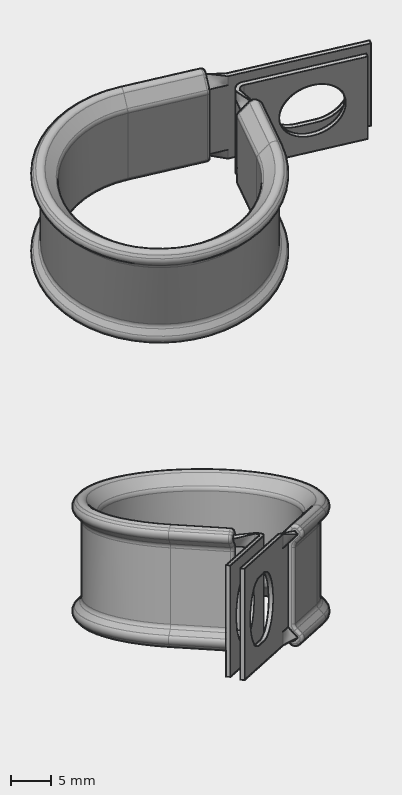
import cadquery as cq
import math


inner_radius = 12.65
groove_radius = 14.9
crest_radius = 16.01
half_height = 7.825
ridge_radius = 14.9
corner_radius = 0.8
end_rounding = 0.45
leg_1_end = 10.9
leg_2_end = 8.15
loop_angle = 270.0

strap_outer = 14.05
strap_thickness = 0.6
strap_inner = strap_outer - strap_thickness
strap_half_width = 7.15
flare_width = 1.8
flare_length = 2.5
fold_outer = strap_half_width - flare_width
fold_inner = fold_outer + strap_thickness * math.tan(math.radians(45 / 2))
embed = 0.95

overall_length = 48.15
tab_1_tip = overall_length - crest_radius
tab_2_tip = 31.0
tab_2_face = -11.95
hole_y = 23.8
hole_diameter = 8.7
slot_length = 11.15


def cushion_section():
    """Cushion cross-section in the XZ plane; the lips lean outward at 45 degrees with rounded corners."""
    rounding_loss = corner_radius * (math.sqrt(2) - 1)
    ridge_height = half_height + rounding_loss
    rim_radius = crest_radius + rounding_loss
    rim_height = ridge_height - (rim_radius - ridge_radius)
    inner_height = ridge_height - (ridge_radius - inner_radius)
    groove_height = rim_height - (rim_radius - groove_radius)
    upper = [
        (inner_radius, inner_height),
        (ridge_radius, ridge_height),
        (rim_radius, rim_height),
        (groove_radius, groove_height),
    ]
    lower = [(radius, -height) for radius, height in reversed(upper)]
    sharp = cq.Workplane("XZ").polyline(upper + lower).close().extrude(0.5)
    rounded = sharp.edges("|Y").fillet(corner_radius)
    return rounded.faces(">Y").val()


def place_on_leg_1(shape):
    """Turn a leg built along +Y at positive X to the -X side of the loop."""
    return shape.mirror("YZ")


def place_on_leg_2(shape):
    """Turn a leg built along +Y at positive X so that it runs along -X at positive Y."""
    return shape.rotate((0, 0, 0), (0, 0, 1), 90)


def cushion_leg(end):
    """Straight cushion along +Y at positive X, with its free end rounded over."""
    leg = cq.Workplane(cq.Solid.extrudeLinear(cushion_section(), cq.Vector(0, end, 0)))
    return leg.faces(">Y").edges().fillet(end_rounding)


def cushion_loop():
    """Three quarters of a turn, from leg 1 around -Y and +X to leg 2."""
    loop = cq.Solid.revolve(cushion_section(), loop_angle, cq.Vector(0, 0, 0), cq.Vector(0, 0, 1))
    return cq.Workplane(loop).rotate((0, 0, 0), (0, 0, 1), 180)


def flare(cushion_end):
    """Strap edge that twists from flat, clear of the cushion, to tilted where it enters."""
    tilt_reach = flare_width / math.sqrt(2)
    tilt_thickness = strap_thickness / math.sqrt(2)
    tip_x = strap_outer + tilt_reach
    tip_z = fold_outer + tilt_reach
    root = [(strap_outer, fold_outer), (strap_inner, fold_inner)]
    flat = root + [(strap_inner, strap_half_width), (strap_outer, strap_half_width)]
    tilted = root + [(tip_x - tilt_thickness, tip_z + tilt_thickness), (tip_x, tip_z)]

    def wire_at(points, y):
        return cq.Wire.makePolygon([cq.Vector(x, y, z) for x, z in points], close=True)

    flat_wire = wire_at(flat, cushion_end + flare_length)
    tilted_wire = wire_at(tilted, cushion_end)
    twist = cq.Workplane(cq.Solid.makeLoft([flat_wire, tilted_wire], True))
    tilted_face = cq.Face.makeFromWires(wire_at(tilted, cushion_end))
    buried = cq.Workplane(cq.Solid.extrudeLinear(tilted_face, cq.Vector(0, -embed, 0)))
    return twist.union(buried)


def strap_end(cushion_end):
    """Strap emerging from one end of the cushion, up to where its flares have become flat."""
    middle_section = [
        (strap_outer, fold_outer),
        (strap_inner, fold_inner),
        (strap_inner, -fold_inner),
        (strap_outer, -fold_outer),
    ]
    middle = (
        cq.Workplane("XZ", origin=(0, cushion_end - embed, 0))
        .polyline(middle_section)
        .close()
        .extrude(-(flare_length + embed))
    )
    top_flare = flare(cushion_end)
    return middle.union(top_flare).union(top_flare.mirror("XY"))


def tab_1():
    """Flat tab continuing leg 1, with an elongated bolt hole."""
    tab_start = leg_1_end + flare_length
    tab = (
        cq.Workplane("XY", origin=(-strap_outer, tab_start, 0))
        .box(strap_thickness, tab_1_tip - tab_start, 2 * strap_half_width, centered=(False, False, True))
    )
    slot = (
        cq.Workplane("YZ", origin=(-strap_outer, hole_y, 0))
        .slot2D(slot_length, hole_diameter)
        .extrude(strap_thickness)
    )
    return tab.cut(slot)


def tab_2():
    """Tab folded up from leg 2 to lie parallel to tab 1, with a round bolt hole."""
    bend_start = -(leg_2_end + flare_length)
    bend_outer_radius = bend_start - tab_2_face
    back_face = tab_2_face + strap_thickness
    bend_inner_radius = bend_outer_radius - strap_thickness
    bend_top = strap_inner + bend_outer_radius
    tab = (
        cq.Workplane("XY", origin=(0, 0, -strap_half_width))
        .moveTo(bend_start, strap_inner)
        .radiusArc((tab_2_face, bend_top), bend_outer_radius)
        .lineTo(tab_2_face, tab_2_tip)
        .lineTo(back_face, tab_2_tip)
        .lineTo(back_face, bend_top)
        .radiusArc((bend_start, strap_outer), -bend_inner_radius)
        .close()
        .extrude(2 * strap_half_width)
    )
    hole = (
        cq.Workplane("YZ", origin=(tab_2_face, hole_y, 0))
        .circle(hole_diameter / 2)
        .extrude(strap_thickness)
    )
    return tab.cut(hole)


result = (
    cushion_loop()
    .union(place_on_leg_1(cushion_leg(leg_1_end)))
    .union(place_on_leg_2(cushion_leg(leg_2_end)))
    .union(place_on_leg_1(strap_end(leg_1_end)))
    .union(place_on_leg_2(strap_end(leg_2_end)))
    .union(tab_1())
    .union(tab_2())
    .solids()
)